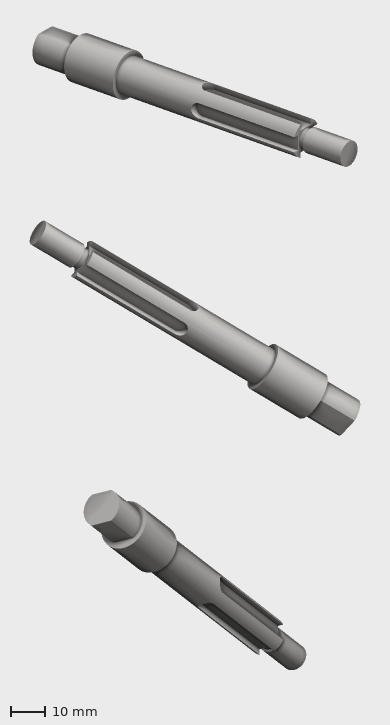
import cadquery as cq

length = 113.0
drive_end = 13.0
collar_end = 31.1
body_end = 97.0
pilot_start = 99.0

body_diameter = 12.0
collar_diameter = 15.0
neck_diameter = 6.5
pilot_diameter = 8.0

across_flats = 10.1

slot_start = 59.0
slot_width = 5.0
slot_depth = 2.4
slot_count = 4


def cylinder(start, end, diameter):
    """Solid cylinder about the X axis between two stations."""
    return cq.Workplane("YZ", origin=(start, 0, 0)).circle(diameter / 2).extrude(end - start)


def drive_flats():
    """Round drive end with two parallel flats facing +Z and -Z."""
    envelope = cq.Workplane("XY").box(
        drive_end, body_diameter, across_flats, centered=(False, True, True)
    )
    return cylinder(0, drive_end, body_diameter).intersect(envelope)


def key_slot():
    """Cutter for the top slot: rounded at its inner end, open at the body's end face."""
    slot_radius = slot_width / 2
    arc_center = slot_start + slot_radius
    floor = body_diameter / 2 - slot_depth
    return (
        cq.Workplane("XY", origin=(0, 0, floor))
        .moveTo(arc_center, slot_radius)
        .threePointArc((slot_start, 0), (arc_center, -slot_radius))
        .lineTo(body_end, -slot_radius)
        .lineTo(body_end, slot_radius)
        .close()
        .extrude(body_diameter / 2)
    )


body = cylinder(collar_end, body_end, body_diameter)
for index in range(slot_count):
    body = body.cut(key_slot().rotate((0, 0, 0), (1, 0, 0), index * 360 / slot_count))

result = (
    drive_flats()
    .union(cylinder(drive_end, collar_end, collar_diameter))
    .union(body)
    .union(cylinder(body_end, pilot_start, neck_diameter))
    .union(cylinder(pilot_start, length, pilot_diameter))
)